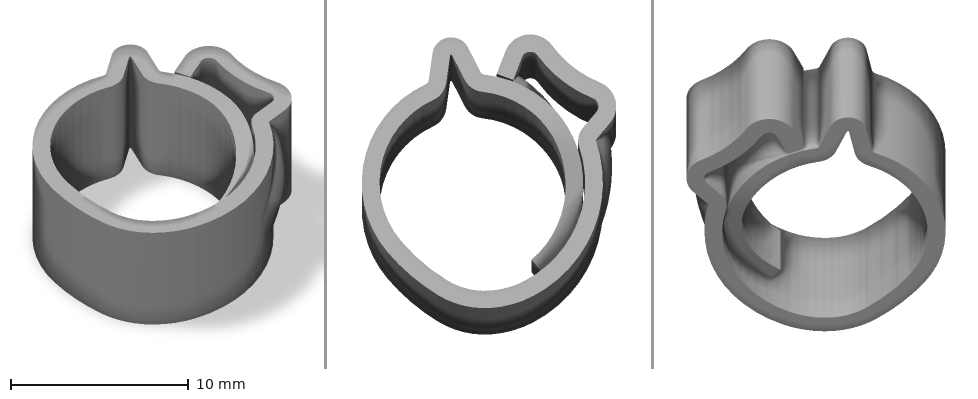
import cadquery as cq
import math

strip_thickness = 1.0
strip_width = 7.0
half_width = strip_width / 2
half_thickness = strip_thickness / 2
tongue_radius = 5.75

tongue_sections = [
    ("bend", tongue_radius, 134.5),
]
ear_sections = [
    ("bend", 0.75, -57.3),
    ("straight", 1.6),
    ("bend", 0.56, 145.5),
    ("straight", 1.58),
    ("bend", 0.8, -56.9),
]
ring_sections = [
    ("bend", 5.76, 104.5),
    ("bend", 11.28, 18.5),
    ("bend", 4.47, 35.9),
    ("bend", 5.42, 23.8),
    ("bend", 6.94, 80.7),
]
hook_sections = [
    ("bend", 0.61, -58.1),
    ("straight", 1.22),
    ("bend", 1.0, 107),
    ("bend", 6.75, -31.9),
    ("bend", 1.0, 123.6),
    ("straight", 1.39),
]

taper_axis_angle = -31
taper_start = -3.5
taper_arc_end = -0.94
taper_angle = 15

swelling_rise = 1.02
tongue_swelling = {
    "centre": (-1.37, -0.52), "radius": 7.19, "angles": (60, 107.3), "root": (-2.95, 5.23),
}
ring_swelling = {
    "centre": (-2.45, -0.35), "radius": 9.68, "angles": (22, 63), "root": (2.7, 6.34),
}


def polar(centre, radius, degrees):
    angle = math.radians(degrees)
    return (centre[0] + radius * math.cos(angle), centre[1] + radius * math.sin(angle))


def bent_strip(start, heading, sections):
    """Strip along the tangent-continuous sections; returns it with its end point and heading."""
    point = start
    left_start = polar(start, half_thickness, heading + 90)
    right_start = polar(start, half_thickness, heading - 90)
    left_side = []
    right_side = []
    for section in sections:
        if section[0] == "straight":
            point = polar(point, section[1], heading)
            left_middle = None
            right_middle = None
        else:
            radius, turn = section[1:]
            side = math.copysign(1, turn)
            centre = polar(point, radius, heading + side * 90)
            middle_direction = heading + turn / 2 - side * 90
            left_middle = polar(centre, radius - side * half_thickness, middle_direction)
            right_middle = polar(centre, radius + side * half_thickness, middle_direction)
            heading += turn
            point = polar(centre, radius, heading - side * 90)
        left_side.append((left_middle, polar(point, half_thickness, heading + 90)))
        right_side.append((right_middle, polar(point, half_thickness, heading - 90)))

    outline = cq.Workplane("XY").workplane(offset=-half_width).moveTo(*left_start)
    for middle, end in left_side:
        outline = outline.threePointArc(middle, end) if middle else outline.lineTo(*end)
    outline = outline.lineTo(*right_side[-1][1])
    right_ends = [right_start] + [end for _, end in right_side[:-1]]
    for (middle, _), end in zip(reversed(right_side), reversed(right_ends)):
        outline = outline.threePointArc(middle, end) if middle else outline.lineTo(*end)
    return outline.close().extrude(strip_width), point, heading


def taper_envelope():
    """Space left to the tongue: full width at its root, narrowing towards its end."""
    outer_radius = tongue_radius + half_thickness
    root_end = -outer_radius - swelling_rise
    slope = math.radians(taper_angle)
    arc_radius = (taper_arc_end - taper_start) / math.sin(slope)
    arc_centre = (taper_start, half_width - arc_radius)
    arc_middle = polar(arc_centre, arc_radius, 90 - taper_angle / 2)
    arc_end = polar(arc_centre, arc_radius, 90 - taper_angle)
    tip_height = arc_end[1] - (outer_radius - taper_arc_end) * math.tan(slope)
    upper_half = (
        cq.Workplane("XZ")
        .moveTo(root_end, 0)
        .lineTo(root_end, half_width)
        .lineTo(taper_start, half_width)
        .threePointArc(arc_middle, arc_end)
        .lineTo(outer_radius, tip_height)
        .lineTo(outer_radius, 0)
        .close()
        .extrude(2 * outer_radius, both=True)
    )
    envelope = upper_half.union(upper_half.mirror("XY"))
    return envelope.rotate((0, 0, 0), (0, 0, 1), taper_axis_angle)


def swelling(centre, radius, angles, root):
    """Barrel surface about a vertical axis, kept only over the given stretch of the strip."""
    first, last = angles
    edge_radius = radius - swelling_rise
    barrel = (
        cq.Workplane("XZ")
        .moveTo(0, -half_width)
        .lineTo(edge_radius, -half_width)
        .threePointArc((radius, 0), (edge_radius, half_width))
        .lineTo(0, half_width)
        .close()
        .revolve(360, (0, 0, 0), (0, 1, 0))
        .translate((centre[0], centre[1], 0))
    )
    stretch = (
        cq.Workplane("XY")
        .moveTo(*polar(centre, radius, first))
        .threePointArc(polar(centre, radius, (first + last) / 2), polar(centre, radius, last))
        .lineTo(*root)
        .close()
        .extrude(half_width, both=True)
    )
    return barrel.intersect(stretch)


tongue, tongue_root, root_heading = bent_strip((tongue_radius, 0), 90, tongue_sections)
body, _, _ = bent_strip(tongue_root, root_heading, ear_sections + ring_sections + hook_sections)

tongue = tongue.union(swelling(**tongue_swelling)).intersect(taper_envelope())
result = body.union(tongue).union(swelling(**ring_swelling))